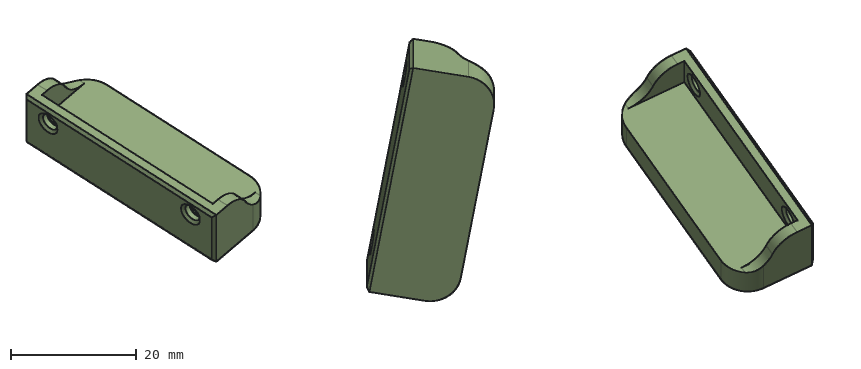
import cadquery as cq
import math

length = 40.0
depth = 14.45
height = 11.05
corner_radius = 5.0
front_chamfer = 0.5

floor_height = 5.25
front_wall = 2.0
cheek_thickness = 2.0

curve_radius = 5.0
curve_start = 3.25

hole_diameter = 3.0
countersink_diameter = 4.0
hole_spacing = 30.0
hole_height = 8.05


def s_profile_block():
    """Side profile extruded along the full length."""
    drop = height - floor_height
    curve_run = math.sqrt(4 * curve_radius * drop - drop**2)
    curve_end = curve_start + curve_run
    middle = (curve_start + curve_run / 2, floor_height + drop / 2)
    half_angle = math.asin(curve_run / 2 / curve_radius) / 2
    arc_run = curve_radius * math.sin(half_angle)
    arc_drop = curve_radius * (1 - math.cos(half_angle))
    return (
        cq.Workplane("YZ", origin=(-length / 2, 0, 0))
        .lineTo(depth, 0)
        .lineTo(depth, floor_height)
        .lineTo(curve_end, floor_height)
        .threePointArc((curve_end - arc_run, floor_height + arc_drop), middle)
        .threePointArc((curve_start + arc_run, height - arc_drop), (curve_start, height))
        .lineTo(0, height)
        .close()
        .extrude(length)
    )


def rounded_plan():
    """Full-height block with the two rear corners rounded and the front edges chamfered."""
    return (
        cq.Workplane("XY")
        .box(length, depth, height, centered=(True, False, False))
        .edges("|Z and >Y")
        .fillet(corner_radius)
        .faces("<Y")
        .chamfer(front_chamfer)
    )


def tray_cut():
    """Space above the tray floor, open at the rear."""
    return (
        cq.Workplane("XY", origin=(0, front_wall, floor_height))
        .box(length - 2 * cheek_thickness, depth, height, centered=(True, False, False))
    )


def screw_hole(x):
    """Hole through the front wall, profile revolved about Y, with a 45-degree countersink on each face."""
    bore_radius = hole_diameter / 2
    sink_radius = countersink_diameter / 2
    sink_depth = sink_radius - bore_radius
    return (
        cq.Workplane("XY", origin=(x, 0, hole_height))
        .lineTo(sink_radius, 0)
        .lineTo(bore_radius, sink_depth)
        .lineTo(bore_radius, front_wall - sink_depth)
        .lineTo(sink_radius, front_wall)
        .lineTo(0, front_wall)
        .close()
        .revolve(360, (0, 0), (0, 1))
    )


result = s_profile_block().intersect(rounded_plan()).cut(tray_cut())
for side in (-1, 1):
    result = result.cut(screw_hole(side * hole_spacing / 2))